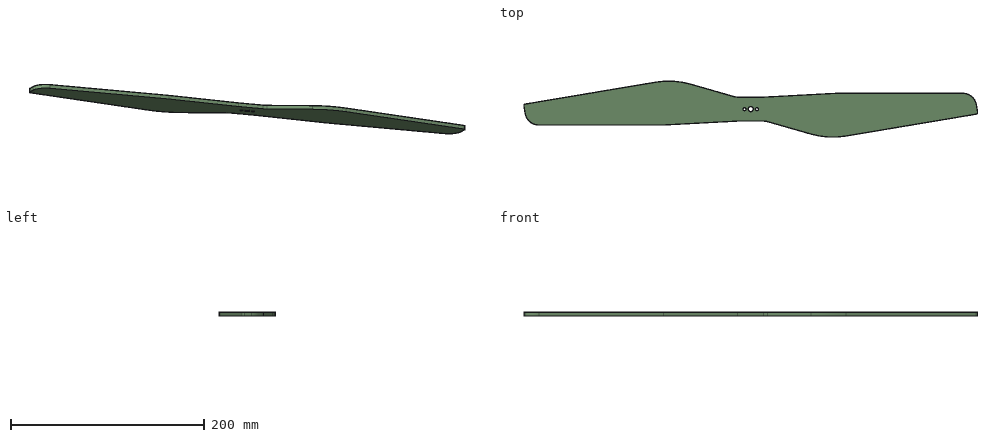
import cadquery as cq
import math

length = 469.39
width = 58.19
thickness = 4.0

hub_half_width = 12.5
hub_half_length = 13.5
shaft_hole_diameter = 5.0
screw_hole_diameter = 3.0
screw_hole_offset = 6.4

root_angle = 16.0
trailing_angle = 9.53
leading_half_width = 16.55
leading_flat_start = 90.0

root_radius = 15.0
bulge_radius = 81.5
bulge_center_x = 84.8
tip_corner_radius = 2.0
tip_radius = 14.6

hub_normal = -90.0
root_normal = hub_normal - root_angle
trailing_normal = hub_normal + trailing_angle
tip_normal = trailing_normal + 90.0
leading_normal = 90.0


def unit(angle):
    """Unit vector at the given angle in degrees."""
    return cq.Vector(math.cos(math.radians(angle)), math.sin(math.radians(angle)), 0)


def round_corner(center, radius, start_normal, end_normal):
    """Start, middle and end points of an arc between two edge normals.

    A negative radius gives a concave corner, centred outside the part.
    """
    middle_normal = (start_normal + end_normal) / 2
    return [center + unit(angle) * radius for angle in (start_normal, middle_normal, end_normal)]


def blade_corners():
    """Rounded corners of the +X blade, from the hub out along the trailing edge to the tip."""
    bulge_center = cq.Vector(bulge_center_x, bulge_radius - width / 2, 0)

    root_line = unit(root_normal)
    root_center_y = -hub_half_width - root_radius
    root_reach = bulge_center.dot(root_line) + bulge_radius + root_radius
    root_center = cq.Vector((root_reach - root_center_y * root_line.y) / root_line.x, root_center_y, 0)

    trailing_line = unit(trailing_normal)
    tip_corner_x = length / 2 - tip_corner_radius
    trailing_reach = bulge_center.dot(trailing_line) + bulge_radius - tip_corner_radius
    tip_corner_y = (trailing_reach - tip_corner_x * trailing_line.x) / trailing_line.y
    tip_corner_center = cq.Vector(tip_corner_x, tip_corner_y, 0)

    tip_line = unit(tip_normal)
    tip_center_y = leading_half_width - tip_radius
    tip_reach = tip_corner_center.dot(tip_line) + tip_corner_radius - tip_radius
    tip_center = cq.Vector((tip_reach - tip_center_y * tip_line.y) / tip_line.x, tip_center_y, 0)

    return [
        round_corner(root_center, -root_radius, hub_normal, root_normal),
        round_corner(bulge_center, bulge_radius, root_normal, trailing_normal),
        round_corner(tip_corner_center, tip_corner_radius, trailing_normal, tip_normal),
        round_corner(tip_center, tip_radius, tip_normal, leading_normal),
    ]


def outline():
    """Closed outline: the +X blade, then the same blade turned half a turn."""
    corners = blade_corners()
    path = cq.Workplane("XY").moveTo(-hub_half_length, -hub_half_width)
    for side in (1, -1):
        for corner in corners:
            start, middle, end = [(side * point.x, side * point.y) for point in corner]
            path = path.lineTo(*start).threePointArc(middle, end)
        path = path.lineTo(side * leading_flat_start, side * leading_half_width)
        if side == 1:
            path = path.lineTo(hub_half_length, hub_half_width)
    return path.close()


def drill(body, diameter, positions):
    """Cut round through holes at the given positions."""
    holes = cq.Workplane("XY").pushPoints(positions).circle(diameter / 2).extrude(thickness)
    return body.cut(holes)


blank = outline().extrude(thickness)
with_shaft_hole = drill(blank, shaft_hole_diameter, [(0, 0)])
result = drill(with_shaft_hole, screw_hole_diameter, [(-screw_hole_offset, 0), (screw_hole_offset, 0)])